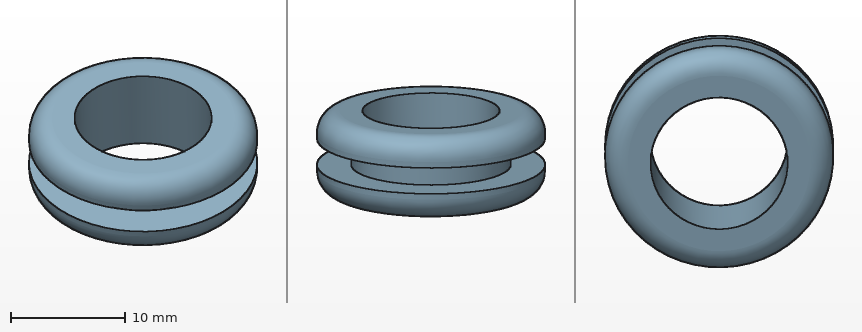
import cadquery as cq

outer_diameter = 20.0
bore_diameter = 12.0
neck_diameter = 14.0
total_height = 7.4

groove_width = 2.35
flange_height = (total_height - groove_width) / 2
edge_radius = 2.0


def make_blank():
    """Solid disc with rounded top and bottom outer edges, centred on the origin."""
    disc = cq.Workplane("XY").circle(outer_diameter / 2).extrude(total_height)
    return disc.faces("<Z or >Z").edges().fillet(edge_radius).translate((0, 0, -total_height / 2))


def make_groove():
    """Ring removed between the flanges to leave the neck."""
    return (
        cq.Workplane("XY")
        .workplane(offset=flange_height - total_height / 2)
        .circle(outer_diameter / 2)
        .circle(neck_diameter / 2)
        .extrude(groove_width)
    )


def make_bore():
    """Cylinder removed through the full height."""
    return (
        cq.Workplane("XY")
        .workplane(offset=-total_height / 2)
        .circle(bore_diameter / 2)
        .extrude(total_height)
    )


result = make_blank().cut(make_groove()).cut(make_bore())